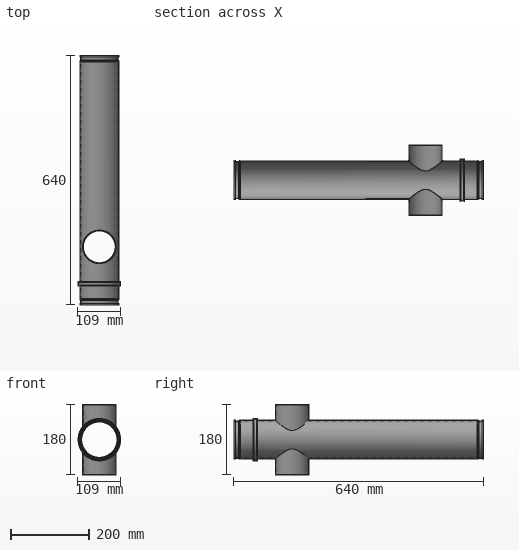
import cadquery as cq

pipe_length = 640.0
pipe_radius = 50.0
wall = 2.5
bore_radius = pipe_radius - wall

end_land = 4.0
groove_floor = 8.0
groove_slope = 2.5
groove_depth = 2.0

collar_radius = 54.5
collar_width = 11.5
collar_offset = 48.5

branch_height = 180.0
branch_radius = 43.0
branch_wall = 2.0
seam_fillet = 1.6
branch_offset = 149.0

front_y = -pipe_length / 2
collar_y = front_y + collar_offset


def cylinder_along_y(radius, start_y, length):
    """Solid cylinder on the Y axis, running from start_y toward +Y."""
    return cq.Workplane("XZ", origin=(0, start_y, 0)).circle(radius).extrude(-length)


def branch_cylinder(radius):
    """Vertical cylinder on the branch axis, centred on the main pipe."""
    branch_y = front_y + branch_offset
    plane = cq.Workplane("XY", origin=(0, branch_y, -branch_height / 2))
    return plane.circle(radius).extrude(branch_height)


def rolled_ring(side, radius, floor_width):
    """Ring pressed inward from the given radius near one pipe end; side is -1 front, +1 back."""
    outer_y = side * (pipe_length / 2 - end_land)
    floor_y = outer_y - side * floor_width
    inner_y = floor_y - side * groove_slope
    floor_radius = radius - groove_depth
    profile = [
        (radius, outer_y),
        (floor_radius, outer_y),
        (floor_radius, floor_y),
        (radius, inner_y),
    ]
    return cq.Workplane("XY").polyline(profile).close().revolve(360, (0, 0, 0), (0, 1, 0))


body = cylinder_along_y(pipe_radius, front_y, pipe_length)
for side in (-1, 1):
    body = body.cut(rolled_ring(side, pipe_radius, groove_floor))
body = body.union(branch_cylinder(branch_radius))
seam_edges = body.edges("(not %LINE) and (not %CIRCLE)")
body = seam_edges.fillet(seam_fillet)
body = body.union(cylinder_along_y(collar_radius, collar_y, collar_width))

body = body.cut(cylinder_along_y(bore_radius, front_y, pipe_length))
body = body.cut(branch_cylinder(branch_radius - branch_wall))

hollow_width = collar_width - 2 * wall
body = body.cut(cylinder_along_y(collar_radius - wall, collar_y + wall, hollow_width))

bead_width = groove_floor + wall
for side in (-1, 1):
    body = body.union(rolled_ring(side, bore_radius, bead_width))

result = body